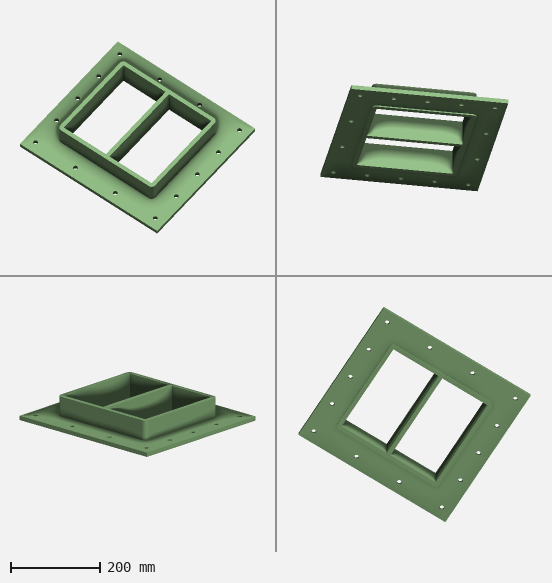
import cadquery as cq

plate_length = 391.0
plate_width = 358.0
plate_thickness = 10.0

frame_length = 270.0
frame_width = 238.0
frame_height = 60.0
frame_below_plate = 3.0
wall = 10.0
frame_corner_radius = wall

hole_diameter = 10.5
hole_inset = 25.0
holes_along_x = 4
holes_along_y = 5

window_length = (frame_length - 3 * wall) / 2
window_width = frame_width - 2 * wall
window_spacing = window_length + wall


def rim_hole_points():
    """Centres of the evenly spaced holes on the four sides of the rim."""
    span_x = plate_length - 2 * hole_inset
    span_y = plate_width - 2 * hole_inset
    points = []
    for column in range(holes_along_x):
        for row in range(holes_along_y):
            on_side = column in (0, holes_along_x - 1)
            on_end = row in (0, holes_along_y - 1)
            if on_side or on_end:
                x = span_x * (column / (holes_along_x - 1) - 0.5)
                y = span_y * (row / (holes_along_y - 1) - 0.5)
                points.append((x, y))
    return points


def make_plate():
    """Flange plate with its bolt holes, resting above the frame's lower edge."""
    return (
        cq.Workplane("XY")
        .workplane(offset=frame_below_plate)
        .rect(plate_length, plate_width)
        .pushPoints(rim_hole_points())
        .circle(hole_diameter / 2)
        .extrude(plate_thickness)
    )


def make_frame_block():
    """Solid outer envelope of the frame with rounded vertical corners."""
    return (
        cq.Workplane("XY")
        .rect(frame_length, frame_width)
        .extrude(frame_height)
        .edges("|Z")
        .fillet(frame_corner_radius)
    )


def make_windows():
    """The two through openings on either side of the divider."""
    return (
        cq.Workplane("XY")
        .rarray(window_spacing, 4, 2, 1)
        .rect(window_length, window_width)
        .extrude(frame_height)
    )


result = make_plate().union(make_frame_block()).cut(make_windows())